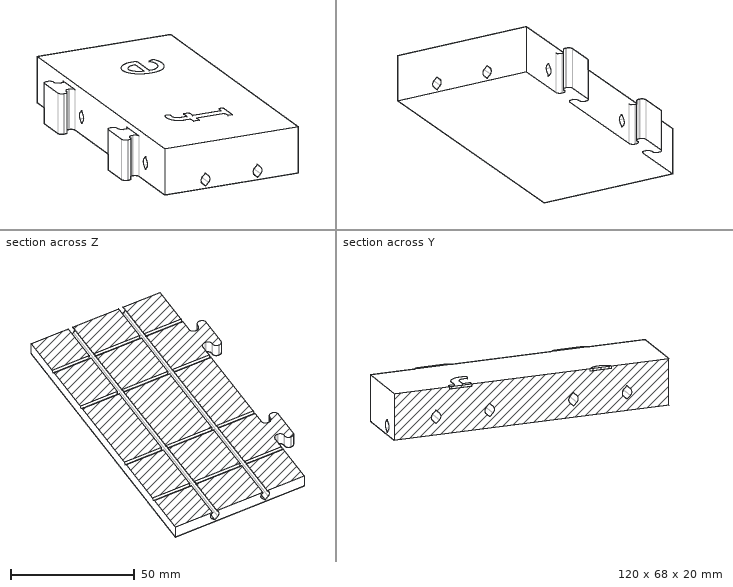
import cadquery as cq
import math

LENGTH = 120.0
WIDTH = 60.0
HEIGHT = 20.0
CELL = LENGTH / 2
CELL_CENTERS = (-CELL / 2, CELL / 2)

CONNECTOR_REACH = 8.0
CONNECTOR_HEIGHT = 17.5
CONNECTOR_ROUND = 1.8
NECK_LENGTH = CONNECTOR_REACH / 2
HEAD_WIDTH = 16.0
HEAD_HALF_WIDTH = HEAD_WIDTH / 2
NECK_HALF_WIDTH = HEAD_HALF_WIDTH / 2

HOLE_DIAMETER = 4.0
HOLE_SPACING = 23.4
HOLE_OFFSETS = (-HOLE_SPACING / 2, HOLE_SPACING / 2)
CROSSWISE_HOLE_Z = 7.8
LENGTHWISE_HOLE_Z = 3.8

INLAY_DEPTH = 1.0
BASELINE_Y = 12.0

E_RIGHT = 7.4
BAR_BOTTOM = 8.0
BAR_TOP = 10.3
EYE_HALF_WIDTH = 4.1

STEM_LEFT = -3.0
STEM_RIGHT = 0.5
SERIF_LEFT = -5.6
FOOT_RIGHT = 3.1
FOOT_EDGE_HEIGHT = 1.9
FOOT_STEM_HEIGHT = 2.3
CROSSBAR_RIGHT = 3.8
CROSSBAR_BOTTOM = 14.9
CROSSBAR_TOP = 17.5
HOOK_START = 19.9
HOOK_INNER_START = 20.8


def make_connector():
    """Connector at X = 0: a neck that flares into the -Y face and a head with rounded corners."""
    radius = CONNECTOR_ROUND
    arc_inset = radius * (1 - math.sqrt(0.5))
    neck, head = NECK_HALF_WIDTH, HEAD_HALF_WIDTH
    shoulder, tip = -NECK_LENGTH, -CONNECTOR_REACH
    return (
        cq.Workplane("XY")
        .lineTo(neck + radius, 0)
        .threePointArc((neck + arc_inset, -arc_inset), (neck, -radius))
        .lineTo(neck, shoulder + radius)
        .threePointArc((neck + arc_inset, shoulder + arc_inset), (neck + radius, shoulder))
        .lineTo(head - radius, shoulder)
        .threePointArc((head - arc_inset, shoulder - arc_inset), (head, shoulder - radius))
        .lineTo(head, tip + radius)
        .threePointArc((head - arc_inset, tip + arc_inset), (head - radius, tip))
        .lineTo(0, tip)
        .mirrorY()
        .extrude(CONNECTOR_HEIGHT)
        .translate((0, -WIDTH / 2, 0))
    )


def make_hole_cutter(plane, depth):
    """Round hole drawn out to a right-angled point at its top and at its bottom."""
    radius = HOLE_DIAMETER / 2
    flank = radius * math.sqrt(0.5)
    point = radius * math.sqrt(2)
    return (
        cq.Workplane(plane)
        .moveTo(0, point)
        .lineTo(flank, flank)
        .threePointArc((radius, 0), (flank, -flank))
        .lineTo(0, -point)
        .lineTo(-flank, -flank)
        .threePointArc((-radius, 0), (-flank, flank))
        .close()
        .extrude(depth / 2, both=True)
    )


def make_letter_e():
    """Upright letter e, from Z = 0 down to the inlay depth."""
    body = (
        cq.Workplane("XY")
        .moveTo(6.7, 1.3)
        .spline(
            [
                (0.6, -0.4), (-5.2, 2.3), (-E_RIGHT, 8.8), (-4.9, 15.6),
                (0, 17.9), (5.3, 15.6), (E_RIGHT, BAR_TOP),
            ],
            includeCurrent=True,
        )
        .lineTo(E_RIGHT, BAR_BOTTOM)
        .lineTo(-4.3, BAR_BOTTOM)
        .spline([(-3.1, 4.1), (0.7, 2.2), (5.2, 3.7)], includeCurrent=True)
        .close()
        .extrude(-INLAY_DEPTH)
    )
    eye = (
        cq.Workplane("XY")
        .moveTo(-EYE_HALF_WIDTH, BAR_TOP)
        .spline([(-2.9, 13.5), (0, 15.2), (3.0, 13.5), (EYE_HALF_WIDTH, BAR_TOP)], includeCurrent=True)
        .close()
        .extrude(-INLAY_DEPTH)
    )
    return body.cut(eye)


def make_letter_f():
    """Upright letter f with a serifed foot, from Z = 0 down to the inlay depth."""
    return (
        cq.Workplane("XY")
        .moveTo(SERIF_LEFT, 0)
        .lineTo(FOOT_RIGHT, 0)
        .lineTo(FOOT_RIGHT, FOOT_EDGE_HEIGHT)
        .lineTo(STEM_RIGHT, FOOT_STEM_HEIGHT)
        .lineTo(STEM_RIGHT, CROSSBAR_BOTTOM)
        .lineTo(CROSSBAR_RIGHT, CROSSBAR_BOTTOM)
        .lineTo(CROSSBAR_RIGHT, CROSSBAR_TOP)
        .lineTo(STEM_RIGHT, CROSSBAR_TOP)
        .lineTo(STEM_RIGHT, HOOK_INNER_START)
        .threePointArc((1.1, 22.3), (2.8, 23.0))
        .lineTo(4.8, 22.9)
        .lineTo(5.4, 25.1)
        .spline([(2.6, 25.7), (-1.5, 24.1), (STEM_LEFT, HOOK_START)], includeCurrent=True)
        .lineTo(STEM_LEFT, CROSSBAR_TOP)
        .lineTo(SERIF_LEFT, CROSSBAR_TOP)
        .lineTo(SERIF_LEFT, CROSSBAR_BOTTOM)
        .lineTo(STEM_LEFT, CROSSBAR_BOTTOM)
        .lineTo(STEM_LEFT, FOOT_STEM_HEIGHT)
        .lineTo(SERIF_LEFT, FOOT_EDGE_HEIGHT)
        .close()
        .extrude(-INLAY_DEPTH)
    )


def place_inlay(letter, center_x):
    """Turn an upright letter upside down and set it flush with the top face."""
    turned = letter.rotate((0, 0, 0), (0, 0, 1), 180)
    return turned.translate((center_x, BASELINE_Y, HEIGHT))


def make_block(inlays):
    """Block with its connectors, through holes and a pocket for each inlay."""
    block = cq.Workplane("XY").box(LENGTH, WIDTH, HEIGHT, centered=(True, True, False))
    connector = make_connector()
    crosswise_hole = make_hole_cutter("XZ", WIDTH)
    lengthwise_hole = make_hole_cutter("YZ", LENGTH)
    for center_x in CELL_CENTERS:
        block = block.union(connector.translate((center_x, 0, 0)))
        for offset in HOLE_OFFSETS:
            block = block.cut(crosswise_hole.translate((center_x + offset, 0, CROSSWISE_HOLE_Z)))
    for offset in HOLE_OFFSETS:
        block = block.cut(lengthwise_hole.translate((0, offset, LENGTHWISE_HOLE_Z)))
    for inlay in inlays:
        block = block.cut(inlay)
    return block


e_inlay = place_inlay(make_letter_e(), CELL_CENTERS[0])
f_inlay = place_inlay(make_letter_f(), CELL_CENTERS[1])
block = make_block([e_inlay, f_inlay])

result = cq.Compound.makeCompound([body.solids().val() for body in (block, e_inlay, f_inlay)])